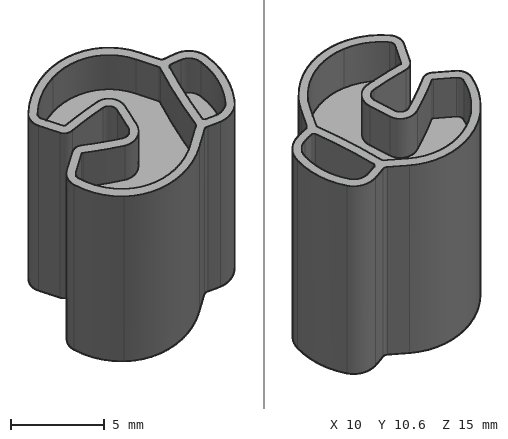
import cadquery as cq
import math

height = 15.0
wall = 0.5
cavity_depth = 3.12

body_width = 10.0
side_radius = 4.25
side_centre = (side_radius - body_width / 2, 0.03)
shoulder_angle = 130.5
shoulder_end_x = -2.1
lower_side_angle = 206.0
lower_side_radius = 4.62
lip_angle = 248.8

lip_tip = (-0.42, -2.67)
lip_bottom_radius = 0.87
lip_tip_radius = 0.6

slot_corner = (-1.26, 0.46)
slot_wall_bow = 0.06
slot_corner_radius = 0.5

head_top_y = 6.65
head_top_radius = 4.65
head_half_width = 2.55
head_corner_radius = 1.42
head_foot_x = -2.5
head_base_y = 3.45
neck_radius = 0.3

partition_y = 4.3
partition_bow = 0.1
cavity_corner_radius = 0.15


def on_circle(centre, radius, degrees):
    """Point on a circle, with the angle counted from +X."""
    angle = math.radians(degrees)
    return centre[0] + radius * math.cos(angle), centre[1] + radius * math.sin(angle)


def mirrored(point):
    return -point[0], point[1]


def fillet_pair(solid, point, radius):
    """Round the vertical edge nearest the point and its mirror image."""
    for x, y in (point, mirrored(point)):
        edge = cq.selectors.NearestToPointSelector((x, y, solid.val().BoundingBox().center.z))
        solid = solid.edges("|Z").edges(edge).fillet(radius)
    return solid


def cavity(solid):
    """Space inside a solid, a wall thickness in from its sides and open at the top."""
    outline = solid.faces(">Z").wires().toPending().workplane()
    return outline.offset2D(-wall).extrude(-cavity_depth, combine=False)


shoulder_start = on_circle(side_centre, side_radius, shoulder_angle)
shoulder_slope = -1 / math.tan(math.radians(shoulder_angle))


def shoulder_y(x):
    return shoulder_start[1] + shoulder_slope * (x - shoulder_start[0])


shoulder_end = (shoulder_end_x, shoulder_y(shoulder_end_x))
side_end = on_circle(side_centre, side_radius, lower_side_angle)
lower_side_centre = on_circle(side_centre, side_radius - lower_side_radius, lower_side_angle)
lip_bottom = on_circle(lower_side_centre, lower_side_radius, lip_angle)
lower_side_middle = on_circle(
    lower_side_centre, lower_side_radius, (lower_side_angle + lip_angle) / 2
)
slot_wall_middle = (
    (lip_tip[0] + slot_corner[0]) / 2 - slot_wall_bow,
    (lip_tip[1] + slot_corner[1]) / 2,
)

body = (
    cq.Workplane("XY")
    .moveTo(0, shoulder_end[1])
    .lineTo(*shoulder_end)
    .lineTo(*shoulder_start)
    .threePointArc((-body_width / 2, side_centre[1]), side_end)
    .threePointArc(lower_side_middle, lip_bottom)
    .lineTo(*lip_tip)
    .threePointArc(slot_wall_middle, slot_corner)
    .lineTo(0, slot_corner[1])
    .mirrorY()
    .extrude(height)
)
body = fillet_pair(body, lip_bottom, lip_bottom_radius)
body = fillet_pair(body, lip_tip, lip_tip_radius)
body = fillet_pair(body, slot_corner, slot_corner_radius)

head_top_centre_y = head_top_y - head_top_radius
corner_x = head_corner_radius - head_half_width
corner_y = head_top_centre_y + math.sqrt((head_top_radius - head_corner_radius) ** 2 - corner_x ** 2)
corner_centre = (corner_x, corner_y)
corner_angle = math.degrees(math.atan2(corner_y - head_top_centre_y, corner_x))
top_middle = on_circle((0, head_top_centre_y), head_top_radius, (corner_angle + 90) / 2)
corner_start = on_circle(corner_centre, head_corner_radius, corner_angle)
corner_middle = on_circle(corner_centre, head_corner_radius, (corner_angle + 180) / 2)
corner_end = (-head_half_width, corner_y)
head_foot = (head_foot_x, shoulder_y(head_foot_x))

head = (
    cq.Workplane("XY")
    .moveTo(0, head_top_y)
    .threePointArc(top_middle, corner_start)
    .threePointArc(corner_middle, corner_end)
    .tangentArcPoint(head_foot, relative=False)
    .lineTo(head_foot_x, head_base_y)
    .lineTo(0, head_base_y)
    .mirrorY()
    .extrude(height)
)
outside = fillet_pair(body.union(head), head_foot, neck_radius)

head_cavity_corner = (head_foot_x + wall, partition_y)
body_cavity_corner = (shoulder_end_x, partition_y - wall)
partition_end = (-head_half_width, partition_y)
partition = (
    cq.Workplane("XY")
    .workplane(offset=height - cavity_depth)
    .moveTo(*partition_end)
    .threePointArc((0, partition_y - partition_bow), mirrored(partition_end))
    .line(0, -wall)
    .threePointArc((0, partition_y - partition_bow - wall), (partition_end[0], partition_y - wall))
    .close()
    .extrude(cavity_depth)
)
body_cavity = fillet_pair(cavity(body).cut(partition), body_cavity_corner, cavity_corner_radius)
head_cavity = fillet_pair(cavity(head).cut(partition), head_cavity_corner, cavity_corner_radius)

result = outside.cut(body_cavity).cut(head_cavity)